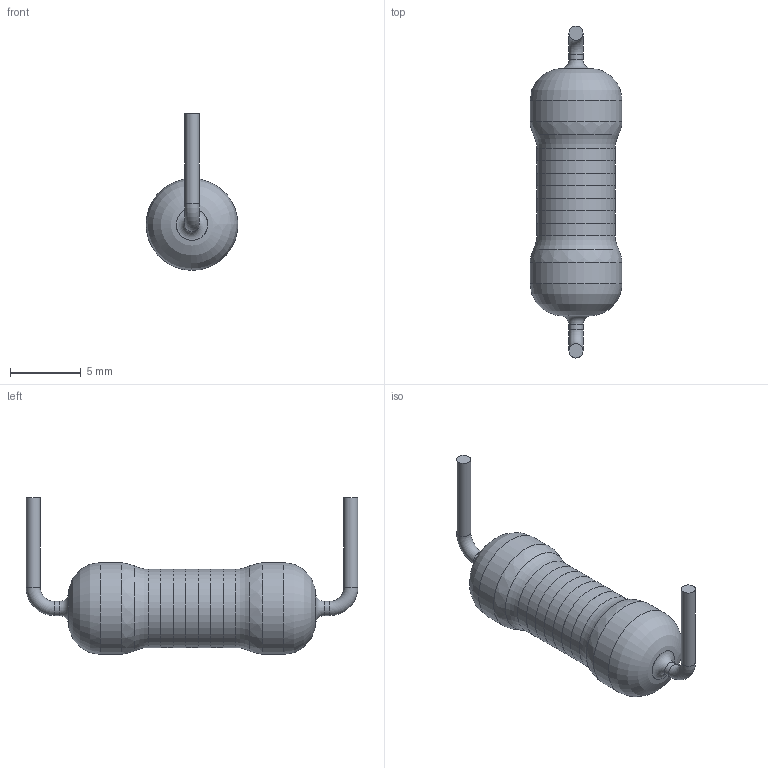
import cadquery as cq
import math


body_length = 17.5
cap_diameter = 6.5
cap_end_radius = 2.25
cap_straight_length = 1.5
shoulder_length = 1.9

plain_diameter = 5.53
band_diameter = 5.54
waist_section_count = 7

lead_diameter = 1.0
lead_span = 22.5
lead_bend_radius = 1.5
lead_top = 7.85
lead_fillet_radius = 0.62
lead_embed = 1.0

cap_radius = cap_diameter / 2
band_radius = band_diameter / 2
lead_radius = lead_diameter / 2
body_end = body_length / 2
cap_outer_edge = body_end - cap_end_radius
cap_inner_edge = cap_outer_edge - cap_straight_length
waist_end = cap_inner_edge - shoulder_length
shoulder_middle = (cap_inner_edge + waist_end) / 2
shoulder_middle_radius = (cap_radius + band_radius) / 2


def make_cap():
    """Rounded +Y end cap with the S-shaped shoulder that narrows to the waist."""
    shoulder_half_length = shoulder_length / 2
    shoulder_half_rise = (cap_radius - band_radius) / 2
    shoulder_chord = math.hypot(shoulder_half_length, shoulder_half_rise)
    shoulder_arc_radius = shoulder_chord**2 / (2 * shoulder_half_rise)
    half_angle = math.asin(shoulder_half_length / shoulder_arc_radius) / 2
    shoulder_quarter = (
        band_radius + shoulder_arc_radius * (1 - math.cos(half_angle)),
        waist_end + shoulder_arc_radius * math.sin(half_angle),
    )
    arc_middle_offset = cap_end_radius * math.sin(math.radians(45))
    end_face_radius = cap_radius - cap_end_radius
    arc_middle = (end_face_radius + arc_middle_offset, cap_outer_edge + arc_middle_offset)
    return (
        cq.Workplane("XY")
        .moveTo(0, waist_end)
        .lineTo(band_radius, waist_end)
        .threePointArc(shoulder_quarter, (shoulder_middle_radius, shoulder_middle))
        .tangentArcPoint((cap_radius, cap_inner_edge), relative=False)
        .lineTo(cap_radius, cap_outer_edge)
        .threePointArc(arc_middle, (end_face_radius, body_end))
        .lineTo(0, body_end)
        .close()
        .revolve(360, (0, 0, 0), (0, 1, 0))
    )


def make_waist():
    """Cylindrical sections along the waist, alternately raised and plain, starting and ending raised."""
    section_length = 2 * waist_end / waist_section_count
    waist = cq.Workplane("XZ")
    for index in range(waist_section_count):
        is_raised = index % 2 == 0
        diameter = band_diameter if is_raised else plain_diameter
        start = -waist_end + index * section_length
        section_plane = cq.Workplane("XZ", origin=(0, start, 0))
        section = section_plane.circle(diameter / 2).extrude(-section_length)
        waist = waist.add(section)
    return waist.combine()


def make_lead():
    """Round wire leaving the +Y end of the body and bending up to a flat tip."""
    lead_y = lead_span / 2
    bend_start = lead_y - lead_bend_radius
    wire_start = body_end - lead_embed
    path = (
        cq.Workplane("YZ")
        .moveTo(wire_start, 0)
        .lineTo(bend_start, 0)
        .tangentArcPoint((lead_y, lead_bend_radius), relative=False)
        .lineTo(lead_y, lead_top)
    )
    return cq.Workplane("XZ", origin=(0, wire_start, 0)).circle(lead_radius).sweep(path)


def make_lead_root():
    """Concave flare that blends the lead into the body end."""
    flare_radius = lead_radius + lead_fillet_radius
    flare_end = body_end + lead_fillet_radius
    arc_offset = lead_fillet_radius * math.sin(math.radians(45))
    arc_middle = (flare_radius - arc_offset, flare_end - arc_offset)
    return (
        cq.Workplane("XY")
        .moveTo(0, body_end - lead_embed)
        .lineTo(flare_radius, body_end - lead_embed)
        .lineTo(flare_radius, body_end)
        .threePointArc(arc_middle, (lead_radius, flare_end))
        .lineTo(0, flare_end)
        .close()
        .revolve(360, (0, 0, 0), (0, 1, 0))
    )


end = make_cap().union(make_lead_root()).union(make_lead())
result = end.union(end.mirror("XZ")).union(make_waist())